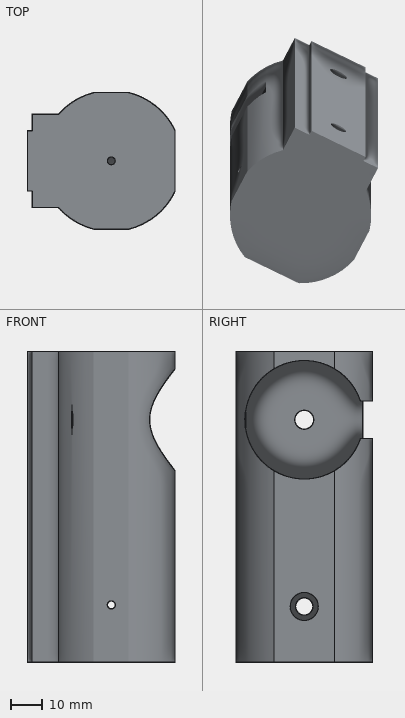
import cadquery as cq

height = 100.0
body_radius = 22.7
side_flat_y = 22.0
end_flat_x = 20.5

strip_face_x = -27.0
strip_step = 1.5
strip_width = 19.5
base_face_x = strip_face_x + strip_step
base_width = 30.0

pocket_z = height - 22.0
pocket_radius = 19.05
pocket_floor_x = -12.7

window_height = 12.0

upper_hole_diameter = 6.0
lower_hole_diameter = 5.5
lower_hole_z = 18.0
lower_bore_diameter = 9.0
lower_bore_floor_x = -24.5
pin_hole_diameter = 2.5
cross_hole_z = 18.5


def block(x_min, x_max, y_min, y_max, z_min, z_max):
    """Axis-aligned box between two opposite corners."""
    size = (x_max - x_min, y_max - y_min, z_max - z_min)
    return cq.Workplane("XY").box(*size, centered=False).translate((x_min, y_min, z_min))


def rod(diameter, start, end):
    """Solid cylinder running from one point to another."""
    axis = cq.Vector(*end) - cq.Vector(*start)
    return cq.Workplane(cq.Solid.makeCylinder(diameter / 2, axis.Length, cq.Vector(*start), axis))


def make_body():
    column = cq.Workplane("XY").circle(body_radius).extrude(height)
    flats = block(-body_radius, end_flat_x, -side_flat_y, side_flat_y, 0, height)
    base = block(base_face_x, 0, -base_width / 2, base_width / 2, 0, height)
    strip = block(strip_face_x, 0, -strip_width / 2, strip_width / 2, 0, height)
    return column.intersect(flats).union(base).union(strip)


def make_pocket():
    return rod(2 * pocket_radius, (pocket_floor_x, 0, pocket_z), (end_flat_x, 0, pocket_z))


def make_window():
    z_min = pocket_z - window_height / 2
    return block(pocket_floor_x, end_flat_x, 0, side_flat_y, z_min, z_min + window_height)


def make_holes():
    """The upper and top holes end inside the pocket; the others pass right through."""
    upper = rod(upper_hole_diameter, (strip_face_x, 0, pocket_z), (0, 0, pocket_z))
    lower = rod(lower_hole_diameter, (strip_face_x, 0, lower_hole_z), (end_flat_x, 0, lower_hole_z))
    bore = rod(lower_bore_diameter, (lower_bore_floor_x, 0, lower_hole_z), (end_flat_x, 0, lower_hole_z))
    cross = rod(pin_hole_diameter, (0, -side_flat_y, cross_hole_z), (0, side_flat_y, cross_hole_z))
    top = rod(pin_hole_diameter, (0, 0, pocket_z), (0, 0, height))
    return [upper, lower, bore, cross, top]


result = make_body().cut(make_pocket()).cut(make_window())
for hole in make_holes():
    result = result.cut(hole)